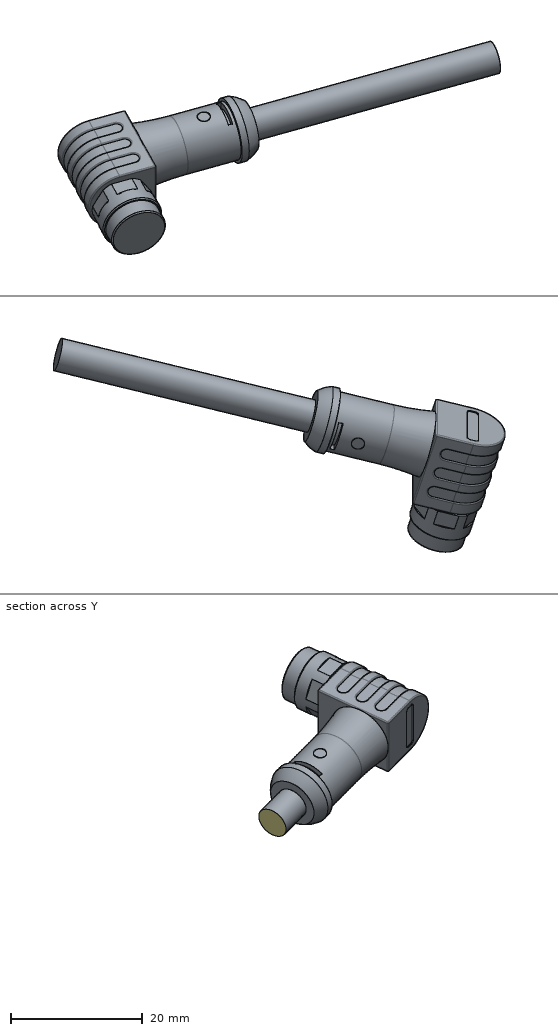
import cadquery as cq
import math

OVERALL_LENGTH_X = 20.7
OVERALL_LENGTH_Y = 69.3

BODY_DIAMETER = 10.3
BODY_RADIUS = BODY_DIAMETER / 2
BODY_LENGTH = 13.0
BODY_BACK_Y = 5.85
BODY_EDGE_FILLET = 0.2
NOSE_FLAT_WIDTH = 0.2
BODY_LEFT_X = -BODY_RADIUS
BODY_RIGHT_X = BODY_LEFT_X + BODY_LENGTH
BODY_MID_X = (BODY_LEFT_X + BODY_RIGHT_X) / 2

GROOVE_COUNT = 3
GROOVE_PITCH = 3.5
GROOVE_WIDTH = 1.85
GROOVE_DEPTH = 0.2
GROOVE_END_Y = 4.2
GROOVE_LIP_FILLET = 0.18

RECESS_WIDTH = 1.8
RECESS_HEIGHT = 8.2
RECESS_CORNER_DIAMETER = 1.1
RECESS_DEPTH = 0.2

SLEEVE_DIAMETER = 9.3
SLEEVE_RADIUS = SLEEVE_DIAMETER / 2
FLARE_END_Y = 12.3
COLLAR_START_Y = 20.95
COLLAR_END_Y = 22.1
SLEEVE_END_Y = 24.15
SLEEVE_END_RADIUS = 4.0
SHOULDER_BULGE = 0.12
CABLE_DIAMETER = 5.1
CABLE_END_Y = OVERALL_LENGTH_Y - BODY_RADIUS

NOTCH_START_Y = 19.75
NOTCH_END_Y = 20.45
NOTCH_LENGTH = 4.9
NOTCH_FLOOR_DIAMETER = 7.2
SPOT_DIAMETER = 2.0
SPOT_Y = 16.7
SPOT_FLOOR_Z = 4.5

NECK_DIAMETER = 6.5
NUT_DIAMETER = 9.6
NUT_FRONT_DIAMETER = 8.8
NUT_ACROSS_FLATS = 9.0
NUT_GAP = 0.5
NUT_START_X = BODY_RIGHT_X + NUT_GAP
FLATS_LENGTH = 2.4
NUT_STEP_X = 13.0
NUT_END_X = BODY_LEFT_X + OVERALL_LENGTH_X
NUT_CHAMFER = 0.2
FLAT_COUNT = 6


def rod_along_x(diameter, start_x, end_x):
    return cq.Workplane("YZ", origin=(start_x, 0, 0)).circle(diameter / 2).extrude(end_x - start_x)


def make_body():
    """Block with two quarter-round corners that leave a narrow flat along the nose."""
    body = (
        cq.Workplane("XY", origin=(BODY_LEFT_X, -BODY_RADIUS, 0))
        .box(BODY_LENGTH, BODY_BACK_Y + BODY_RADIUS, BODY_DIAMETER, centered=(False, False, True))
        .faces("<Y")
        .edges("|X")
        .fillet(BODY_RADIUS - NOSE_FLAT_WIDTH / 2)
    )
    return body.faces("<X or >X or >Y").edges().fillet(BODY_EDGE_FILLET)


def make_groove(center_x):
    """Round-ended band of the body skin, GROOVE_DEPTH thick."""
    half_width = GROOVE_WIDTH / 2
    front_y = -2 * BODY_RADIUS
    band = (
        cq.Workplane("XY", origin=(center_x, 0, -BODY_DIAMETER))
        .moveTo(-half_width, front_y)
        .lineTo(half_width, front_y)
        .lineTo(half_width, GROOVE_END_Y - half_width)
        .threePointArc((0, GROOVE_END_Y), (-half_width, GROOVE_END_Y - half_width))
        .close()
        .extrude(2 * BODY_DIAMETER)
    )
    floor_radius = BODY_RADIUS - GROOVE_DEPTH
    core = (
        cq.Workplane("YZ", origin=(center_x - GROOVE_WIDTH, 0, 0))
        .moveTo(BODY_BACK_Y, -floor_radius)
        .lineTo(0, -floor_radius)
        .threePointArc((-floor_radius, 0), (0, floor_radius))
        .lineTo(BODY_BACK_Y, floor_radius)
        .close()
        .extrude(2 * GROOVE_WIDTH)
    )
    return band.cut(core)


def cut_groove(body, center_x):
    """Cut one groove and round its lip, the rim it leaves in the body skin."""

    def is_lip(edge):
        middle = edge.positionAt(0.5)
        within_groove = abs(middle.x - center_x) < GROOVE_WIDTH / 2 + GROOVE_LIP_FILLET
        height = math.hypot(min(middle.y, 0), middle.z)
        inside_outline = middle.y < BODY_BACK_Y - GROOVE_LIP_FILLET
        return within_groove and inside_outline and height > BODY_RADIUS - GROOVE_DEPTH / 2

    grooved = body.cut(make_groove(center_x))
    return grooved.edges().filter(is_lip).fillet(GROOVE_LIP_FILLET)


def make_recess():
    return (
        cq.Workplane("YZ", origin=(BODY_LEFT_X, 0, 0))
        .rect(RECESS_WIDTH, RECESS_HEIGHT)
        .extrude(RECESS_DEPTH)
        .edges("|X")
        .fillet(RECESS_CORNER_DIAMETER / 2)
    )


def make_sleeve_and_cable():
    """Turned profile: flare, sleeve, collar, rounded shoulder and cable."""
    cable_radius = CABLE_DIAMETER / 2
    flare_middle = (SLEEVE_RADIUS + (BODY_RADIUS - SLEEVE_RADIUS) / 4, (BODY_BACK_Y + FLARE_END_Y) / 2)
    shoulder_middle = (
        (BODY_RADIUS + SLEEVE_END_RADIUS) / 2 + SHOULDER_BULGE,
        (COLLAR_END_Y + SLEEVE_END_Y) / 2 + SHOULDER_BULGE / 2,
    )
    profile = (
        cq.Workplane("XY")
        .moveTo(0, 0)
        .lineTo(SLEEVE_RADIUS, 0)
        .lineTo(SLEEVE_RADIUS, BODY_BACK_Y - BODY_EDGE_FILLET)
        .lineTo(BODY_RADIUS, BODY_BACK_Y)
        .threePointArc(flare_middle, (SLEEVE_RADIUS, FLARE_END_Y))
        .lineTo(SLEEVE_RADIUS, COLLAR_START_Y)
        .lineTo(BODY_RADIUS, COLLAR_START_Y)
        .lineTo(BODY_RADIUS, COLLAR_END_Y)
        .threePointArc(shoulder_middle, (SLEEVE_END_RADIUS, SLEEVE_END_Y))
        .lineTo(cable_radius, SLEEVE_END_Y)
        .lineTo(cable_radius, CABLE_END_Y)
        .lineTo(0, CABLE_END_Y)
        .close()
    )
    return profile.revolve(360, (0, 0, 0), (0, 1, 0))


def make_sleeve_cuts():
    """Notch and round spot, on the top and mirrored to the bottom."""
    notch_width = NOTCH_END_Y - NOTCH_START_Y
    notch = cq.Workplane("XY", origin=(0, (NOTCH_START_Y + NOTCH_END_Y) / 2, 0))
    notch = notch.rect(NOTCH_LENGTH, notch_width).extrude(BODY_RADIUS)
    core = cq.Workplane("XZ").circle(NOTCH_FLOOR_DIAMETER / 2).extrude(-COLLAR_START_Y)
    notch = notch.cut(core)
    spot = cq.Workplane("XY", origin=(0, SPOT_Y, SPOT_FLOOR_Z))
    spot = spot.circle(SPOT_DIAMETER / 2).extrude(BODY_RADIUS)
    cuts = notch.union(spot)
    return cuts.union(cuts.mirror("XY"))


def make_nut():
    """Nut with six wrench flats, its narrower front and the neck that joins it to the body."""
    nut = rod_along_x(NUT_DIAMETER, NUT_START_X, NUT_STEP_X).faces(">X").chamfer(NUT_CHAMFER)
    flat = cq.Workplane("XY", origin=(NUT_START_X, 0, NUT_ACROSS_FLATS / 2)).box(
        FLATS_LENGTH, NUT_DIAMETER, NUT_DIAMETER, centered=(False, True, False)
    )
    for index in range(FLAT_COUNT):
        nut = nut.cut(flat.rotate((0, 0, 0), (1, 0, 0), index * 360 / FLAT_COUNT))
    front = rod_along_x(NUT_FRONT_DIAMETER, NUT_START_X, NUT_END_X).faces(">X").chamfer(NUT_CHAMFER)
    neck = rod_along_x(NECK_DIAMETER, BODY_MID_X, NUT_START_X + FLATS_LENGTH)
    return nut.union(front).union(neck)


body = make_body().cut(make_recess())
for index in range(GROOVE_COUNT):
    offset = index - (GROOVE_COUNT - 1) / 2
    body = cut_groove(body, BODY_MID_X + offset * GROOVE_PITCH)

sleeve = make_sleeve_and_cable().cut(make_sleeve_cuts())
result = body.union(sleeve).union(make_nut())